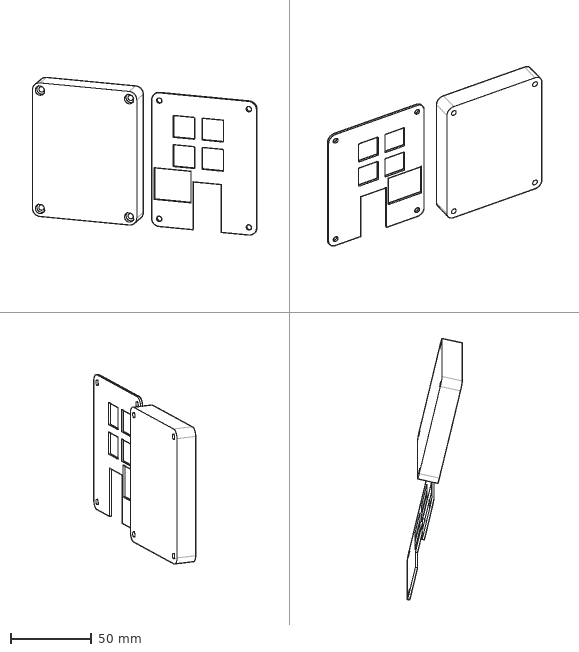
import cadquery as cq

overall_width = 147.3
panel_height = 86.9
corner_radius = 5.0
screw_inset = 5.0
screw_diameter = 3.4

case_width = 68.6
case_depth = 13.0
screw_head_diameter = 6.0
screw_head_depth = 3.0

plate_width = 68.9
plate_thickness = 1.5
plate_shift_x = overall_width - plate_width
plate_shift_z = 0.9

key_opening = 14.1
key_corner_radius = 0.6
key_pitch = 19.0
key_rows = 2
key_columns = 2
key_left_offset = 14.1
key_top_offset = 13.8

display_width = 24.0
display_height = 20.5
display_left_offset = 1.8
display_top_offset = 49.0

slot_width = 18.7
slot_height = 31.0
slot_left_offset = 27.1


def box_at(left, bottom, width, height, thickness):
    """Block with its front face on Y = 0 and its lower left corner at (left, bottom)."""
    return cq.Workplane("XY").box(width, thickness, height, centered=False).translate((left, 0, bottom))


def rounded_panel(width, thickness):
    """Upright panel with rounded corners, its front face on Y = 0."""
    return box_at(0, 0, width, panel_height, thickness).edges("|Y").fillet(corner_radius)


def screw_cylinders(width, diameter, depth):
    """One cylinder at each corner of a panel of the given width, running back from the front face."""
    positions = [
        (x, z)
        for x in (screw_inset, width - screw_inset)
        for z in (screw_inset, panel_height - screw_inset)
    ]
    return cq.Workplane("XZ").pushPoints(positions).circle(diameter / 2).extrude(-depth)


def make_case():
    """Solid block with a counterbored screw hole through each corner."""
    case = rounded_panel(case_width, case_depth)
    case = case.cut(screw_cylinders(case_width, screw_diameter, case_depth))
    return case.cut(screw_cylinders(case_width, screw_head_diameter, screw_head_depth))


def cut_key_openings(plate):
    for row in range(key_rows):
        for column in range(key_columns):
            left = key_left_offset + column * key_pitch
            bottom = panel_height - key_top_offset - key_opening - row * key_pitch
            opening = box_at(left, bottom, key_opening, key_opening, plate_thickness)
            plate = plate.cut(opening.edges("|Y").fillet(key_corner_radius))
    return plate


def cut_display_window(plate):
    bottom = panel_height - display_top_offset - display_height
    return plate.cut(box_at(display_left_offset, bottom, display_width, display_height, plate_thickness))


def cut_bottom_slot(plate):
    return plate.cut(box_at(slot_left_offset, 0, slot_width, slot_height, plate_thickness))


def make_cover_plate():
    """Thin plate with screw holes, key openings, a display window and a bottom slot."""
    plate = rounded_panel(plate_width, plate_thickness)
    plate = plate.cut(screw_cylinders(plate_width, screw_diameter, plate_thickness))
    plate = cut_key_openings(plate)
    plate = cut_display_window(plate)
    plate = cut_bottom_slot(plate)
    return plate.translate((plate_shift_x, 0, plate_shift_z))


case = make_case()
cover_plate = make_cover_plate()

result = cq.Compound.makeCompound([case.val(), cover_plate.val()])